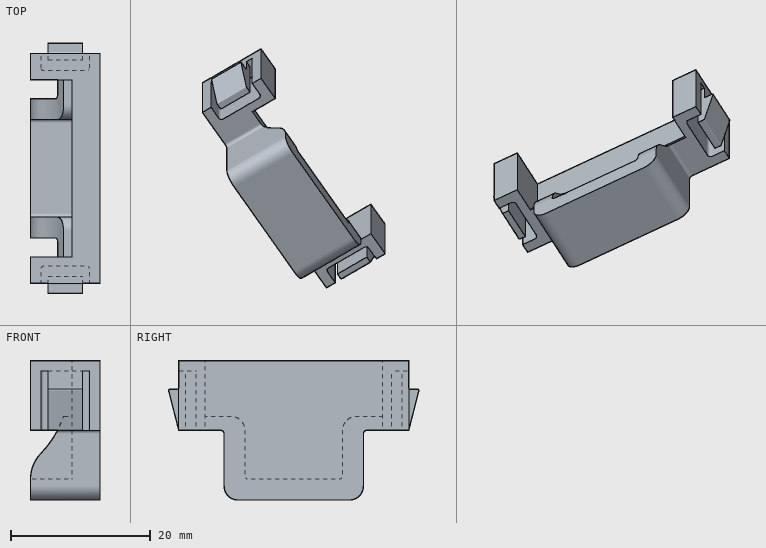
import cadquery as cq

WIDTH = 10.0
HEIGHT = 20.0
FRAME_LENGTH = 33.0
FRAME_BOTTOM = 10.0
BACK_THICKNESS = 4.0
END_THICKNESS = 3.8

TRAY_LENGTH = 20.0
TRAY_WALL = 3.0
TRAY_FLOOR = 3.0
SHELF_THICKNESS = 2.0
BEND_RADIUS = 2.0
SMALL_RADIUS = 0.5

CURVE_MIDDLE = (1.5, 6.7)
CURVE_TOP_X = 4.75

CLIP_WIDTH = 5.0
CLIP_GAP = 1.0
CLIP_THICKNESS = 1.0
RECESS_HEIGHT = 8.5
RECESS_DEPTH = 2.5
BARB_REACH = 1.5
BARB_HEIGHT = 5.9
BARB_RADIUS = 0.2

BACK_FACE = WIDTH - BACK_THICKNESS
END_FACE = FRAME_LENGTH / 2
END_INNER = END_FACE - END_THICKNESS
TRAY_OUTER = TRAY_LENGTH / 2
TRAY_INNER = TRAY_OUTER - TRAY_WALL
SHELF_TOP = FRAME_BOTTOM + SHELF_THICKNESS


def box(x_range, y_range, z_range):
    """Axis-aligned block given by its limits along X, Y and Z."""
    size = [high - low for low, high in (x_range, y_range, z_range)]
    corner = (x_range[0], y_range[0], z_range[0])
    return cq.Workplane("XY").box(*size, centered=False).translate(corner)


def make_frame():
    """C-shaped frame: a back plate with a wall at each end."""
    frame = box((0, WIDTH), (-END_FACE, END_FACE), (FRAME_BOTTOM, HEIGHT))
    opening = box((0, BACK_FACE), (-END_INNER, END_INNER), (FRAME_BOTTOM, HEIGHT))
    return frame.cut(opening)


def tray_section():
    """YZ section of the tray walls, floor and shelves, run through the full width."""
    block = box((0, WIDTH), (-TRAY_OUTER, TRAY_OUTER), (0, SHELF_TOP))
    block = block.edges("|X and <Z").fillet(BEND_RADIUS)
    shelves = box((0, WIDTH), (-END_INNER, END_INNER), (FRAME_BOTTOM, SHELF_TOP))
    section = block.union(shelves)
    for side in (-1, 1):
        under_shelf = cq.NearestToPointSelector((WIDTH / 2, side * TRAY_OUTER, FRAME_BOTTOM))
        section = section.edges(under_shelf).fillet(SMALL_RADIUS)
    return section


def tray_pocket():
    """Space between the tray walls, in front of the back plate."""
    pocket = box((0, BACK_FACE), (-TRAY_INNER, TRAY_INNER), (TRAY_FLOOR, SHELF_TOP))
    pocket = pocket.edges("|X and <Z").fillet(SMALL_RADIUS)
    above = box((0, BACK_FACE), (-END_INNER, END_INNER), (SHELF_TOP, HEIGHT))
    pocket = pocket.union(above)
    for side in (-1, 1):
        bend = cq.NearestToPointSelector((BACK_FACE / 2, side * TRAY_INNER, SHELF_TOP))
        pocket = pocket.edges(bend).fillet(BEND_RADIUS)
    return pocket


def tray_side_profile():
    """XZ outline of the tray, extruded along Y: upright front, S-curve, upright back."""
    return (
        cq.Workplane("XZ")
        .moveTo(WIDTH, 0)
        .lineTo(0, 0)
        .lineTo(0, TRAY_FLOOR)
        .tangentArcPoint(CURVE_MIDDLE, relative=False)
        .tangentArcPoint((CURVE_TOP_X, SHELF_TOP), relative=False)
        .lineTo(WIDTH, SHELF_TOP)
        .close()
        .extrude(END_INNER, both=True)
    )


def make_tray():
    """Tray with shelves, trimmed to its S-curved front and hollowed out."""
    return tray_section().intersect(tray_side_profile()).cut(tray_pocket())


def clip_recess():
    """Cavity in the +Y end wall, open outward and downward, around the tongue."""
    half_width = CLIP_WIDTH / 2 + CLIP_GAP
    recess = box(
        (WIDTH / 2 - half_width, WIDTH / 2 + half_width),
        (END_FACE - RECESS_DEPTH, END_FACE),
        (FRAME_BOTTOM, FRAME_BOTTOM + RECESS_HEIGHT),
    )
    return recess.edges("|Z and <Y").fillet(SMALL_RADIUS)


def clip_tongue():
    """Tongue hanging in the +Y recess, with a barb that widens upward to a ledge."""
    ledge = FRAME_BOTTOM + BARB_HEIGHT
    recess_top = FRAME_BOTTOM + RECESS_HEIGHT
    tongue = (
        cq.Workplane("YZ")
        .moveTo(END_FACE - CLIP_THICKNESS, FRAME_BOTTOM)
        .lineTo(END_FACE, FRAME_BOTTOM)
        .lineTo(END_FACE + BARB_REACH, ledge)
        .lineTo(END_FACE, ledge)
        .lineTo(END_FACE, recess_top)
        .lineTo(END_FACE - CLIP_THICKNESS, recess_top)
        .close()
        .extrude(CLIP_WIDTH)
        .translate(((WIDTH - CLIP_WIDTH) / 2, 0, 0))
    )
    barb_corners = (
        (END_FACE, FRAME_BOTTOM),
        (END_FACE + BARB_REACH, ledge),
        (END_FACE, ledge),
    )
    for y, z in barb_corners:
        corner = cq.NearestToPointSelector((WIDTH / 2, y, z))
        tongue = tongue.edges(corner).fillet(BARB_RADIUS)
    return tongue


def add_clips(body):
    """Cut the recess and hang the tongue at both ends of the body."""
    recess = clip_recess()
    tongue = clip_tongue()
    body = body.cut(recess).cut(recess.mirror("XZ"))
    return body.union(tongue).union(tongue.mirror("XZ"))


result = add_clips(make_frame().union(make_tray()))